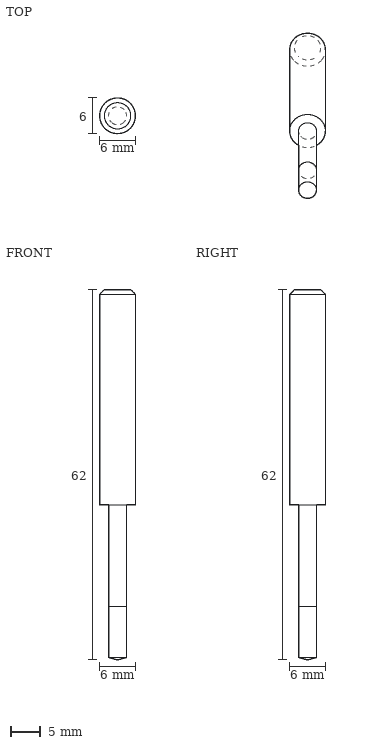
import cadquery as cq
import math

total_length = 62.0
shank_diameter = 6.0
drill_diameter = shank_diameter / 2

cutting_length = 9.0
shoulder_height = 26.0

shank_chamfer = 0.8
point_angle = 150.0

shank_radius = shank_diameter / 2
drill_radius = drill_diameter / 2
point_height = drill_radius / math.tan(math.radians(point_angle / 2))


def revolve_about_z(profile_points):
    """Turn a closed (radius, height) outline into a solid around the Z axis."""
    outline = cq.Workplane("XZ").polyline(profile_points).close()
    return outline.revolve(360, (0, 0), (0, 1))


def make_cutting_head():
    """Cylindrical cutting portion with a shallow conical point at Z = 0."""
    return revolve_about_z([
        (0, 0),
        (drill_radius, point_height),
        (drill_radius, cutting_length),
        (0, cutting_length),
    ])


def make_shank():
    """Slender neck and thick shank with a chamfered top end."""
    return revolve_about_z([
        (0, cutting_length),
        (drill_radius, cutting_length),
        (drill_radius, shoulder_height),
        (shank_radius, shoulder_height),
        (shank_radius, total_length - shank_chamfer),
        (shank_radius - shank_chamfer, total_length),
        (0, total_length),
    ])


cutting_head = make_cutting_head()
shank = make_shank()

result = cq.Compound.makeCompound([cutting_head.val(), shank.val()])